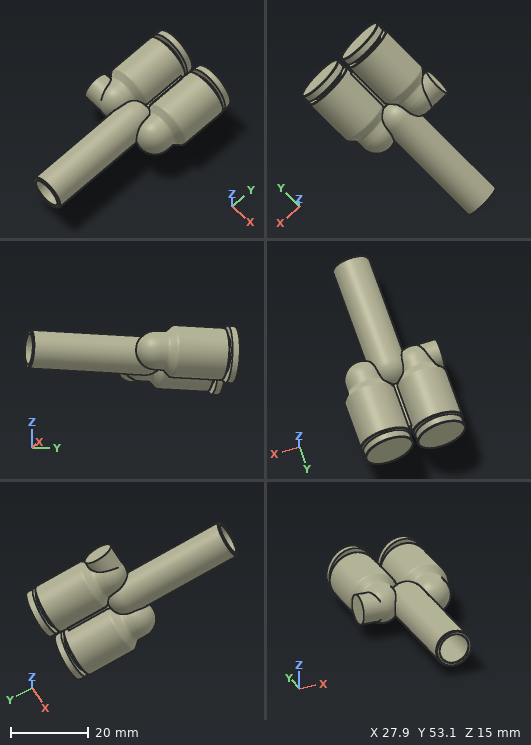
import cadquery as cq

overall_length = 53.1
back = overall_length / 2
front = -back
socket_diameter = 13.6
socket_spacing = 14.25
overall_width = socket_spacing + socket_diameter

collar_width = 12.95
collar_height = 15.0
collar_thickness = 2.0
collar_edge = 0.15
neck_diameter = 9.6
neck_length = 0.9

barrel_length = 13.65
barrel_edge = 0.15
tail_diameter = 10.1
shoulder_length = 1.95
shoulder_blend = 0.8
ball_depth = 21.05

stem_diameter = 10.05
stem_bore_diameter = 7.95
stem_ball_depth = 22.0
stem_edge = 0.25
bore_edge = 0.1

peg_diameter = 7.95

web_depth = 4.5
web_height = 2.1

barrel_back = back - collar_thickness - neck_length
ball_y = back - ball_depth
stem_ball_y = back - stem_ball_depth


def cylinder_y(diameter, start, end):
    """Cylinder on the Y axis running from y = start up to y = end."""
    return cq.Workplane("XZ", origin=(0, end, 0)).circle(diameter / 2).extrude(end - start)


def make_collar():
    collar = (
        cq.Workplane("XZ", origin=(0, back, 0))
        .ellipse(collar_width / 2, collar_height / 2)
        .extrude(collar_thickness)
    )
    return collar.faces(">Y").edges().chamfer(collar_edge)


def make_socket():
    """One socket with its axis on the Y axis."""
    barrel_radius = socket_diameter / 2
    tail_radius = tail_diameter / 2
    barrel_front = barrel_back - barrel_length
    shoulder_front = barrel_front - shoulder_length
    profile = (
        cq.Workplane("XY")
        .moveTo(0, barrel_back)
        .lineTo(barrel_radius - barrel_edge, barrel_back)
        .lineTo(barrel_radius, barrel_back - barrel_edge)
        .lineTo(barrel_radius, barrel_front)
        .lineTo(tail_radius, shoulder_front)
        .lineTo(tail_radius, ball_y)
        .radiusArc((0, ball_y - tail_radius), tail_radius)
        .close()
    )
    body = profile.revolve(360, (0, 0, 0), (0, 1, 0))
    shoulder = body.faces("%CONE").faces("<Y")
    body = shoulder.edges("%CIRCLE").fillet(shoulder_blend)
    neck = cylinder_y(neck_diameter, barrel_back, back - collar_thickness)
    return body.union(neck).union(make_collar())


def make_stem():
    tube = cylinder_y(stem_diameter, front, stem_ball_y).faces("<Y").edges().chamfer(stem_edge)
    ball = cq.Workplane("XY").sphere(stem_diameter / 2).translate((0, stem_ball_y, 0))
    return tube.union(ball)


def make_bore():
    """Blind bore of the stem, ending at the ball centre, with a countersunk mouth."""
    bore_radius = stem_bore_diameter / 2
    profile = (
        cq.Workplane("XY")
        .moveTo(0, front)
        .lineTo(bore_radius + bore_edge, front)
        .lineTo(bore_radius, front + bore_edge)
        .lineTo(bore_radius, stem_ball_y)
        .lineTo(0, stem_ball_y)
        .close()
    )
    return profile.revolve(360, (0, 0, 0), (0, 1, 0))


def make_peg():
    """Peg running from the left outer side to the left socket axis."""
    left = -overall_width / 2
    return (
        cq.Workplane("YZ", origin=(left, stem_ball_y, 0))
        .circle(peg_diameter / 2)
        .extrude(socket_diameter / 2)
    )


def make_web():
    web_back = back - web_depth
    length = web_back - stem_ball_y
    return cq.Workplane("XY").box(socket_spacing, length, web_height).translate(
        (0, web_back - length / 2, 0)
    )


result = make_stem().union(make_web()).union(make_peg())
for side in (-1, 1):
    result = result.union(make_socket().translate((side * socket_spacing / 2, 0, 0)))

result = result.cut(make_bore())